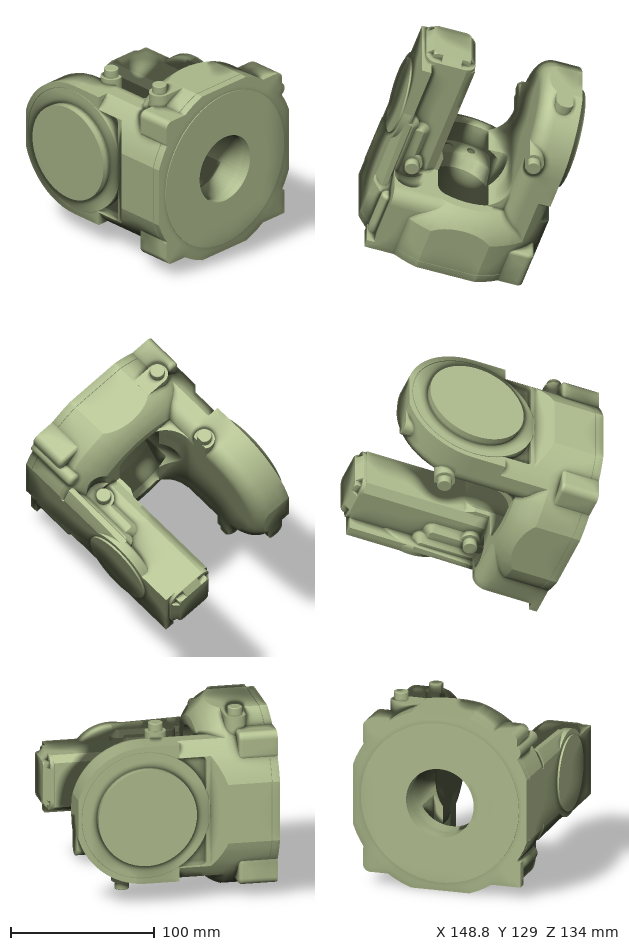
import cadquery as cq


overlap = 1.0

ring_front = 43.0
ring_back = 93.4
pad_back = 94.0
ring_radius = 67.5
ring_flat = 64.0
bore_radius = 24.8
crest_radius = 51.0
dome_mid_x = 49.5
dome_mid_radius = 60.8
dome_end = 60.0
pad_radius = 58.0
joint_x = 87.4
joint_groove = 0.5

recess_half_width = 21.7
recess_radius = 44.0
recess_floor = 60.0
recess_corner = 9.0
recess_ramp_start = 48.0
recess_lip_radius = 31.0
bore_flare_end = 68.0
cable_hole_radius = 3.0
cable_hole_y = 8.0
cable_hole_z = 37.4
cable_hole_depth = 1.5

ear_front = 66.0
ear_inner = 34.5
ear_outer_y = 56.5
ear_outer_z = 55.6
ear_round = 5.0
side_lug_y = 54.0
side_lug_z = 42.0
side_lug_radius = 5.0
side_lug_front = 54.0

corner_box_front = 43.0
corner_box_y = 53.6
corner_flange_y = 59.0
corner_box_bottom = -56.0
corner_box_top = -22.0
corner_box_round = 9.8
corner_flange_top = -38.0

disc_radius = 50.0
disc_inner_y = -25.6
disc_outer_y = -54.2
disc_inner_round = 11.0
disc_flat_x = -48.0
arm_end = 62.0
slope_start_x = 46.3
slope_end_x = 56.6
web_start_x = 24.0
web_mid = (36.0, -21.5)
web_end_y = -13.0
web_half_height = 42.0
cap_radius = 45.5
cap_groove = 0.6
output_radius = 35.0
output_y = -60.6
window_half_height = 40.0
window_wall_x = 43.0
window_floor_y = -48.0
window_round = 3.0
window_floor_round = 2.5
tongue_y = -41.3
tongue_width = 12.4
tongue_round = 5.6
tongue_bottom = -29.5
tongue_back_x = -36.0

motor_front = -48.0
motor_inner_y = 24.5
motor_outer_y = 63.5
motor_half_height = 20.2
motor_bevel_y = 6.5
motor_bevel_z = 4.0
motor_gusset_x = 26.0
motor_gusset_length = 6.0
motor_gusset_y = 21.5
hub_radius = 31.0
hub_inner_y = 55.5
hub_fillet = 3.0
back_disc_radius = 27.0
back_disc_y = 65.0
rib_ring_x = 55.0
rib_ring_z = 33.0
rib_inner_y = 55.5
ledge_corner = 6.5
ledge_bevel = 4.5
ledge_steps = ((48.5, -2.0, 28.0), (39.0, 3.0, 25.0))
foot_thickness = 7.0
foot_bottom = -30.0

cover_front = -54.8
cover_inner_y = 25.0
cover_outer_y = 61.0
cover_corner = 8.0
cover_bevel = 4.6
cover_plate = 2.5
cover_rib_half_y = 7.0
cover_rib_half_z = 11.5

post_radius = 5.1
post_collar_radius = 7.4
post_height = 6.0
post_top_round = 0.6
disc_post_x = 12.0
disc_post_y = -30.0
disc_collar_z = 54.0
ring_post_x = 67.0
ring_post_y = -37.3
ring_collar_z = 64.0
motor_post_x = 36.8
motor_post_y = 43.0
motor_collar_z = 24.7
collar_length = 18.0
scoop_radius = 12.0
scoop_centre_z = 33.0


def block(x0, x1, y0, y1, z0, z1):
    """Box between two opposite corners."""
    return cq.Workplane("XY").box(x1 - x0, y1 - y0, z1 - z0, centered=False).translate((x0, y0, z0))


def x_cylinder(radius, x0, x1, y=0, z=0):
    """Cylinder along X."""
    return cq.Workplane("YZ", origin=(x0, y, z)).circle(radius).extrude(x1 - x0)


def y_cylinder(radius, y0, y1, x=0, z=0):
    """Cylinder along Y."""
    return cq.Workplane("XZ", origin=(x, y0, z)).circle(radius).extrude(y0 - y1)


def ring_envelope(x0, x1):
    """Cylinder about the bore axis that limits everything carried by the ring."""
    flats = block(x0, x1, -ring_flat, motor_outer_y, -ring_flat, ring_flat)
    return x_cylinder(ring_radius, x0, x1).intersect(flats)


def make_ring():
    """Domed ring with four flats and a mating pad on its back."""
    dome = (
        cq.Workplane("XY")
        .moveTo(ring_front, 0)
        .lineTo(ring_front, crest_radius)
        .threePointArc((dome_mid_x, dome_mid_radius), (dome_end, ring_radius))
        .lineTo(ring_back, ring_radius)
        .lineTo(ring_back, 0)
        .close()
        .revolve(360, (0, 0, 0), (1, 0, 0))
    )
    ring = dome.intersect(ring_envelope(ring_front, ring_back))
    return ring.union(x_cylinder(pad_radius, ring_back - overlap, pad_back))


def make_ear(side_y, side_z):
    """Rounded bolting ear on one corner of the ring."""
    y0, y1 = sorted((side_y * ear_inner, side_y * ear_outer_y))
    z0, z1 = sorted((side_z * ear_inner, side_z * ear_outer_z))
    ear = block(ear_front, ring_back, y0, y1, z0, z1)
    return ear.edges("|X").fillet(ear_round).faces("<X").edges().fillet(ear_round / 2)


def make_corner_box():
    """Square lower corner on the motor side, with a wider flange at the back."""
    box = block(corner_box_front, ring_back, 0, corner_box_y, corner_box_bottom, corner_box_top)
    box = box.edges("<X and <Z").fillet(corner_box_round)
    flange = block(joint_x, ring_back, 0, corner_flange_y, corner_box_bottom, corner_flange_top)
    return box.union(flange)


def make_disc_arm():
    """Round gear housing joined to the ring by a straight arm."""
    housing = (
        cq.Workplane("XZ", origin=(0, disc_inner_y, 0))
        .moveTo(0, disc_radius)
        .lineTo(arm_end, disc_radius)
        .lineTo(arm_end, -disc_radius)
        .lineTo(0, -disc_radius)
        .threePointArc((-disc_radius, 0), (0, disc_radius))
        .close()
        .extrude(disc_inner_y - disc_outer_y)
    )
    housing = housing.faces(">Y").edges("not >X").fillet(disc_inner_round)
    straight = block(web_start_x, arm_end, -ring_flat, disc_inner_y, -disc_radius, disc_radius)
    slope_root = block(slope_start_x, arm_end, -ring_flat, disc_outer_y, -disc_radius, disc_radius)
    round_part = block(-disc_radius, web_start_x, -ring_flat, 0, -disc_radius, disc_radius)
    straight = straight.intersect(housing).union(slope_root).intersect(ring_envelope(0, arm_end))
    web = (
        cq.Workplane("XY", origin=(0, 0, -web_half_height))
        .moveTo(web_start_x, disc_inner_y)
        .threePointArc(web_mid, (ring_front, web_end_y))
        .lineTo(arm_end, web_end_y)
        .lineTo(arm_end, disc_inner_y - disc_inner_round)
        .lineTo(web_start_x, disc_inner_y - disc_inner_round)
        .close()
        .extrude(2 * web_half_height)
    )
    arm = housing.intersect(round_part).union(straight).union(web)
    flat_cut = block(-2 * disc_radius, disc_flat_x, -ring_flat, 0, -disc_radius, disc_radius)
    tongue = block(
        disc_flat_x, tongue_back_x, tongue_y - tongue_width / 2, tongue_y + tongue_width / 2, tongue_bottom, 0
    )
    tongue = tongue.faces("<Z").edges("|X").fillet(tongue_round)
    return arm.cut(flat_cut).union(tongue)


def finish_disc(body):
    """Cut the cap groove and the window beside the cap, then add the output disc."""
    window = block(0, window_wall_x, -ring_flat, window_floor_y, -window_half_height, window_half_height)
    window = window.edges("|Y and >X").fillet(window_round).faces(">Y").edges().fillet(window_floor_round)
    window = window.cut(y_cylinder(cap_radius, -ring_flat, 0))
    groove = y_cylinder(cap_radius + cap_groove, disc_outer_y, disc_outer_y + cap_groove)
    groove = groove.cut(y_cylinder(cap_radius, disc_outer_y, disc_outer_y + cap_groove))
    return body.cut(window).cut(groove).union(y_cylinder(output_radius, output_y, disc_outer_y + overlap))


def make_slope_cut():
    """Wedge outside the sloped face that leads from the disc arm to the ring flat."""
    return (
        cq.Workplane("XY", origin=(0, 0, -ring_flat))
        .moveTo(slope_end_x, -ring_flat)
        .lineTo(slope_start_x, disc_outer_y)
        .lineTo(slope_start_x - overlap, disc_outer_y)
        .lineTo(slope_start_x - overlap, -ring_flat)
        .close()
        .extrude(2 * ring_flat)
    )


def make_post_scoop(side):
    """Round-ended clearance around a motor screw post."""
    scoop = cq.Workplane("XY").circle(scoop_radius).extrude(scoop_centre_z - motor_collar_z)
    scoop = scoop.translate((motor_post_x, motor_post_y, motor_collar_z))
    tip = cq.Workplane("XY").sphere(scoop_radius).translate((motor_post_x, motor_post_y, scoop_centre_z))
    scoop = scoop.union(tip)
    scoop = scoop.intersect(block(0, ring_back, 0, rib_inner_y, motor_collar_z, ring_flat))
    return scoop if side > 0 else scoop.mirror("XY")


def make_ring_post_pad():
    """Tongue of the top flat that carries the ring screw post."""
    return block(
        ring_post_x - post_collar_radius, ring_post_x + post_collar_radius,
        ring_post_y, -recess_half_width, ring_collar_z - collar_length, ring_collar_z,
    )


def make_motor_arm():
    """Square motor housing with a round hub and ribs towards the ring."""
    bevel_z = motor_half_height - motor_bevel_z
    bevel_y = motor_inner_y + motor_bevel_y
    housing = (
        cq.Workplane("YZ", origin=(motor_front, 0, 0))
        .moveTo(motor_outer_y, motor_half_height)
        .lineTo(bevel_y, motor_half_height)
        .lineTo(motor_inner_y, bevel_z)
        .lineTo(motor_inner_y, -bevel_z)
        .lineTo(bevel_y, -motor_half_height)
        .lineTo(motor_outer_y, -motor_half_height)
        .close()
        .extrude(arm_end - motor_front)
    )
    gusset = (
        cq.Workplane("XY", origin=(0, 0, -bevel_z))
        .moveTo(motor_gusset_x, motor_inner_y)
        .lineTo(motor_gusset_x + motor_gusset_length, motor_gusset_y)
        .lineTo(arm_end, motor_gusset_y)
        .lineTo(arm_end, motor_outer_y)
        .lineTo(motor_gusset_x, motor_outer_y)
        .close()
        .extrude(2 * bevel_z)
    )
    hub = y_cylinder(hub_radius, hub_inner_y, motor_outer_y).faces("<Y").edges().fillet(hub_fillet)
    rib = (
        cq.Workplane("XZ", origin=(0, motor_outer_y, 0))
        .polyline([(0, hub_radius), (rib_ring_x, rib_ring_z), (rib_ring_x, -rib_ring_z), (0, -hub_radius)])
        .close()
        .extrude(motor_outer_y - rib_inner_y)
        .intersect(ring_envelope(0, rib_ring_x))
    )
    foot = block(motor_front, 0, motor_outer_y - foot_thickness, motor_outer_y, foot_bottom, 0)
    back_disc = y_cylinder(back_disc_radius, motor_outer_y - overlap, back_disc_y)
    arm = housing.union(gusset).union(hub).union(rib).union(foot).union(back_disc)
    for inner_y, start_x, half_height in ledge_steps:
        ledge = block(start_x, rib_ring_x, inner_y, hub_inner_y, -half_height, half_height)
        ledge = ledge.edges("<X and <Y").fillet(ledge_corner)
        arm = arm.union(ledge.faces("<Z or >Z").edges("<Y").chamfer(ledge_bevel))
    return arm


def make_cover():
    """Bevelled end cover with its corners set back to a thin plate."""
    cover = block(
        cover_front, motor_front, cover_inner_y, cover_outer_y, -motor_half_height, motor_half_height
    )
    cover = cover.edges("|X").fillet(cover_corner)
    cover = cover.faces("<X").chamfer(cover_bevel)
    mid_y = (cover_inner_y + cover_outer_y) / 2
    plate_x = motor_front - cover_plate
    plate = cover.intersect(
        block(plate_x, motor_front, cover_inner_y, cover_outer_y, -motor_half_height, motor_half_height)
    )
    tall = block(
        cover_front, motor_front, mid_y - cover_rib_half_y, mid_y + cover_rib_half_y,
        -motor_half_height, motor_half_height,
    )
    wide = block(cover_front, motor_front, cover_inner_y, cover_outer_y, -cover_rib_half_z, cover_rib_half_z)
    face_half_y = mid_y - cover_inner_y - cover_bevel
    face_half_z = motor_half_height - cover_bevel
    middle = block(
        cover_front, motor_front, mid_y - face_half_y, mid_y + face_half_y, -face_half_z, face_half_z
    )
    return plate.union(cover.intersect(tall.union(wide).union(middle)))


def make_post(x, y, collar_z, side=1):
    """Screw post on a collar, standing up (side 1) or hanging down (side -1)."""
    collar = cq.Workplane("XY").circle(post_collar_radius).extrude(-collar_length)
    post = cq.Workplane("XY").circle(post_radius).extrude(post_height)
    post = post.faces(">Z").edges().fillet(post_top_round)
    upright = collar.union(post).translate((x, y, collar_z))
    return upright if side > 0 else upright.mirror("XY")


def make_recess(side):
    """Arched recess between the arms, above (1) or below (-1) the bore, flaring out of the bore."""
    z0, z1 = sorted((0, side * 2 * recess_radius))
    wall_end = recess_floor if side > 0 else recess_ramp_start
    outline = (
        cq.Workplane("XY")
        .moveTo(ring_front - overlap, 0)
        .lineTo(ring_front - overlap, recess_radius)
        .lineTo(wall_end, recess_radius)
        .lineTo(recess_floor, recess_lip_radius)
        .lineTo(bore_flare_end, bore_radius)
        .lineTo(bore_flare_end, 0)
        .close()
        .revolve(360, (0, 0, 0), (1, 0, 0))
    )
    slab = block(ring_front - overlap, bore_flare_end, -recess_half_width, recess_half_width, z0, z1)
    corner_limit = slab.intersect(x_cylinder(recess_radius, ring_front - overlap, bore_flare_end))
    tip = ">Z" if side > 0 else "<Z"
    corner_limit = corner_limit.faces(tip).edges("|X").fillet(recess_corner)
    return outline.intersect(corner_limit)


def make_joint_groove():
    """Thin groove around the ring where the back cover meets it."""
    outer = x_cylinder(2 * ring_radius, joint_x, joint_x + joint_groove)
    inside = ring_flat - joint_groove
    core = x_cylinder(ring_radius - joint_groove, joint_x, joint_x + joint_groove)
    core = core.intersect(block(joint_x, joint_x + joint_groove, -inside, inside, -inside, inside))
    return outer.cut(core)


body = make_ring().cut(make_joint_groove()).union(make_corner_box())
for side in (1, -1):
    body = body.cut(make_post_scoop(side))
body = body.union(make_disc_arm()).union(make_motor_arm()).union(make_ring_post_pad())
body = body.cut(make_slope_cut())

for side_y, side_z in ((1, 1), (-1, 1), (-1, -1)):
    body = body.union(make_ear(side_y, side_z))
for side in (1, -1):
    side_lug = x_cylinder(side_lug_radius, side_lug_front, ring_back, side_lug_y, side * side_lug_z)
    body = body.union(side_lug.faces("<X").edges().fillet(side_lug_radius / 2))
body = finish_disc(body)
body = body.union(make_cover())

behind_disc = block(-disc_radius, disc_radius, disc_inner_y, 0, -ring_flat, ring_flat)
for side in (1, -1):
    disc_post = make_post(side * disc_post_x, disc_post_y, disc_collar_z, side)
    body = body.union(disc_post.cut(behind_disc))
    body = body.union(make_post(motor_post_x, motor_post_y, motor_collar_z, side))
body = body.union(make_post(ring_post_x, ring_post_y, ring_collar_z))

for side in (1, -1):
    body = body.cut(make_recess(side))
body = body.cut(x_cylinder(bore_radius, motor_gusset_x, pad_back))
for side in (1, -1):
    hole_end = recess_floor + cable_hole_depth
    body = body.cut(x_cylinder(cable_hole_radius, recess_floor, hole_end, side * cable_hole_y, cable_hole_z))

result = body